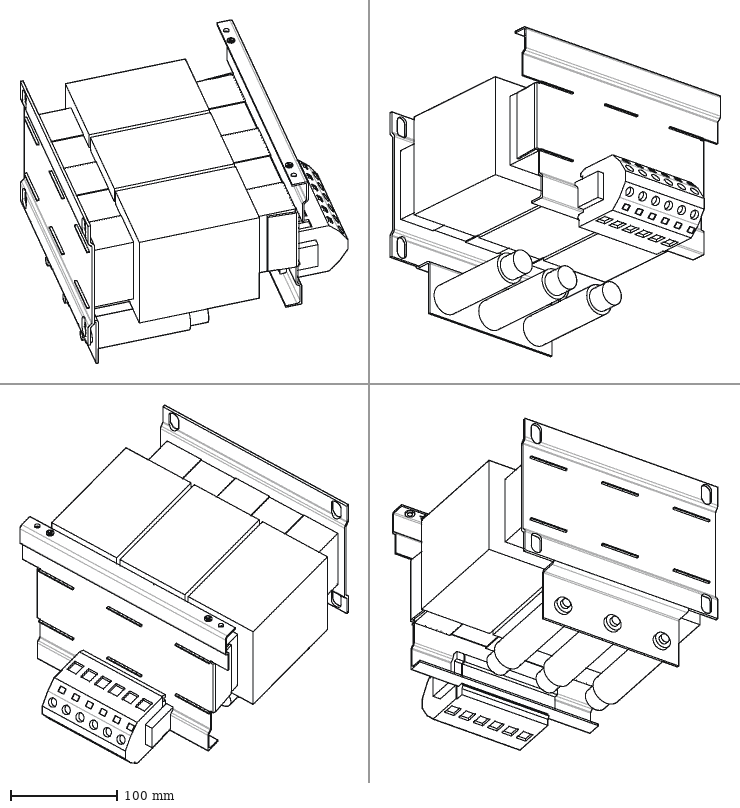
import cadquery as cq
import math


PHASES = 3
PHASE_PITCH = 79.8
LEG_WIDTH = PHASE_PITCH / 2
CORE_WIDTH = (2 * PHASES - 1) * LEG_WIDTH
CORE_HEIGHT = 69.3
CORE_FRONT_Y = 6.5
CORE_BACK_Y = 206.8
COIL_GAP = 3.8
COIL_WIDTH = PHASE_PITCH - COIL_GAP
COIL_HEIGHT = 101.8
COIL_FRONT_Y = 47.5
COIL_BACK_Y = 166.0
STRIP_THICKNESS = 1.0
STRIP_FRONT_Y = 1.5
STRIP_BACK_Y = 211.8

BEND_RADIUS = 1.0

FRONT_THICKNESS = 2.8
FRONT_WIDTH = 215.0
FRONT_HALF_HEIGHT = 75.0
FRONT_BEND_OUTER_Z = 52.5
FRONT_BEND_INNER_Z = 48.5
SLOT_SPACING_X = 189.8
SLOT_CENTER_Z = 62.5
SLOT_LENGTH = 21.5
SLOT_WIDTH = 11.3

BRACKET_THICKNESS = 2.2
BRACKET_WIDTH = 150.7
BRACKET_TOP_Z = -74.2
SHELF_BOTTOM_Z = -78.0
BRACKET_BOTTOM_Z = -130.4
BRACKET_FRONT_Y = 18.2
CAPACITOR_PITCH = 55.0
CAPACITOR_Z = -110.5
CAPACITOR_DIAMETER = 30.2
CAPACITOR_BACK_Y = 113.0
CAP_NECK_DIAMETER = 23.5
CAP_NECK_BACK_Y = 132.0
NUT_DIAMETER = 16.5
NUT_FRONT_Y = 13.8
STUD_DIAMETER = 8.8
STUD_FRONT_Y = 10.0

SHEET_THICKNESS = 2.0
TOP_Z = 86.0
RAIL_OUTER_Y = 213.7
WEB_OUTER_Y = 209.5
FLANGE_FRONT_Y = 197.7
RAIL_JOG_OUTER_Z = 62.2
RAIL_JOG_INNER_Z = 58.8
UPPER_RAIL_WIDTH = 240.0
UPPER_RAIL_BOTTOM_Z = 36.5
LOWER_RAIL_WIDTH = CORE_WIDTH
WING_HALF_HEIGHT = 34.0
WING_FRONT_Y = 179.3
WING_ROOT_X = 102.8
WING_TIP_X = 101.0
FLANGE_HOLE_Y = 203.2
FIXING_X = 107.2
FIXING_HOLE_DIAMETER = 5.0
FIXING_NUT_DIAMETER = 9.0
FIXING_NUT_THICKNESS = 1.6
SCREW_X = 92.5
SCREW_DIAMETER = 7.2
SCREW_HEAD_DEPTH = 0.5
SCREW_SLOT_WIDTH = 1.0
SCREW_SLOT_DEPTH = 1.5

TERMINALS = 6
TERMINAL_LEFT_X = -47.0
TERMINAL_RIGHT_X = 49.0
TERMINAL_PITCH = (TERMINAL_RIGHT_X - TERMINAL_LEFT_X) / TERMINALS
END_PLATE_THICKNESS = 1.0
END_PLATE_FRONT_Y = 215.5
TERMINAL_TOP_Z = -41.5
TERMINAL_BOTTOM_Z = -99.0
TERMINAL_MID_Z = (TERMINAL_TOP_Z + TERMINAL_BOTTOM_Z) / 2
TERMINAL_BACK_Y = 275.0
NOSE_HALF_HEIGHT = 5.5
BEVEL_Y = 266.2
BEVEL_HALF_HEIGHT = 19.0
SHOULDER_Y = 256.0
STOP_OUTER_X = 56.0
STOP_BACK_Y = 243.0
STOP_TOP_Z = -56.0
STOP_BOTTOM_Z = -83.3
HOOK_FRONT_Y = 201.3
HOOK_BOTTOM_Z = -64.5
FOOT_FRONT_Y = 205.7
CATCH_BASE_Y = 206.8
CATCH_TIP_Y = 205.0
CATCH_TIP_Z = -89.5
CATCH_HALF_HEIGHT = 2.8
NOTCH_FLOOR_Y = 211.8
NOTCH_BOTTOM_Z = -52.2
NOTCH_TOP_Z = -47.8
TOP_CORNER_Z = -44.5
WINDOW_WIDTH = 10.5
WINDOW_FRONT_Y = 227.7
WINDOW_BACK_Y = 240.4
WINDOW_INSET_X = 2.0
WINDOW_DEPTH = 2.8
SCREW_WELL_DIAMETER = 8.8
SCREW_WELL_DEPTH = 5.5
MARK_WIDTH = 6.3
MARK_LENGTH = 5.5
MARK_DEPTH = 1.0


def box(x0, x1, y0, y1, z0, z1):
    return cq.Workplane("XY").box(x1 - x0, y1 - y0, z1 - z0, centered=False).translate((x0, y0, z0))


def centered_box(x, width, y0, y1, z0, z1):
    return box(x - width / 2, x + width / 2, y0, y1, z0, z1)


def prism_x(points, x0, x1):
    """Extrude a closed (y, z) outline from x0 to x1."""
    return cq.Workplane("YZ").workplane(offset=x0).polyline(points).close().extrude(x1 - x0)


def rod_y(x, z, diameter, y0, y1):
    """Round rod along Y."""
    return cq.Workplane("XZ", origin=(x, y0, z)).circle(diameter / 2).extrude(y0 - y1)


def rod_z(x, y, diameter, z0, z1):
    """Round rod along Z."""
    return cq.Workplane("XY", origin=(x, y, z0)).circle(diameter / 2).extrude(z1 - z0)


def mirrored_z(points, mid_z=0.0):
    """The same (y, z) points reflected about mid_z, in reverse order."""
    return [(y, 2 * mid_z - z) for y, z in reversed(points)]


def bent_sheet(path, thickness, width):
    """Sheet of even thickness to the right of a (y, z) path, with rounded bends, centred on X = 0."""
    headings = [math.atan2(z1 - z0, y1 - y0) for (y0, z0), (y1, z1) in zip(path, path[1:])]
    offset_path = []
    for i, (y, z) in enumerate(path):
        before = headings[max(i - 1, 0)]
        after = headings[min(i, len(headings) - 1)]
        normal = (before + after) / 2 - math.pi / 2
        reach = thickness / math.cos((after - before) / 2)
        offset_path.append((y + reach * math.cos(normal), z + reach * math.sin(normal)))
    sheet = prism_x(path + offset_path[::-1], -width / 2, width / 2)

    for i in range(1, len(path) - 1):
        turns_right = headings[i] < headings[i - 1]
        outer, inner = (path[i], offset_path[i]) if turns_right else (offset_path[i], path[i])
        for corner, radius in ((outer, BEND_RADIUS + thickness), (inner, BEND_RADIUS)):
            sheet = sheet.edges(cq.NearestToPointSelector((0, *corner))).fillet(radius)
    return sheet


def phase_positions():
    return [(i - (PHASES - 1) / 2) * PHASE_PITCH for i in range(PHASES)]


def make_core():
    half = CORE_HEIGHT / 2
    core = centered_box(0, CORE_WIDTH, CORE_FRONT_Y, CORE_BACK_Y, -half, half)
    for x in phase_positions():
        core = core.union(
            centered_box(x, COIL_WIDTH, COIL_FRONT_Y, COIL_BACK_Y, -COIL_HEIGHT / 2, COIL_HEIGHT / 2)
        )
        for z in (-half - STRIP_THICKNESS, half):
            core = core.union(
                centered_box(x, LEG_WIDTH, STRIP_FRONT_Y, STRIP_BACK_Y, z, z + STRIP_THICKNESS)
            )
    return core


def make_front_plate():
    web_y = CORE_FRONT_Y - FRONT_THICKNESS
    lower = [
        (0, -FRONT_HALF_HEIGHT),
        (0, -FRONT_BEND_OUTER_Z),
        (web_y, -FRONT_BEND_INNER_Z),
    ]
    path = lower + mirrored_z(lower)
    plate = bent_sheet(path, FRONT_THICKNESS, FRONT_WIDTH)
    slots = (
        cq.Workplane("XZ")
        .rect(SLOT_SPACING_X, 2 * SLOT_CENTER_Z, forConstruction=True)
        .vertices()
        .slot2D(SLOT_LENGTH, SLOT_WIDTH, 90)
        .extrude(-CORE_FRONT_Y)
    )
    return plate.cut(slots)


def make_capacitor_bracket():
    front_path = [
        (BRACKET_FRONT_Y, BRACKET_BOTTOM_Z),
        (BRACKET_FRONT_Y, SHELF_BOTTOM_Z),
        (0, SHELF_BOTTOM_Z),
        (0, BRACKET_TOP_Z),
    ]
    return bent_sheet(front_path, BRACKET_THICKNESS, BRACKET_WIDTH)


def make_capacitor(x):
    plate_back_y = BRACKET_FRONT_Y + BRACKET_THICKNESS
    return (
        rod_y(x, CAPACITOR_Z, CAPACITOR_DIAMETER, plate_back_y, CAPACITOR_BACK_Y)
        .union(rod_y(x, CAPACITOR_Z, CAP_NECK_DIAMETER, CAPACITOR_BACK_Y, CAP_NECK_BACK_Y))
        .union(rod_y(x, CAPACITOR_Z, NUT_DIAMETER, NUT_FRONT_Y, BRACKET_FRONT_Y))
        .union(rod_y(x, CAPACITOR_Z, STUD_DIAMETER, STUD_FRONT_Y, NUT_FRONT_Y))
    )


def screw_head_recess(x):
    """Cutter for a sunken screw head with a cross slot in the upper flange."""
    recess = rod_z(x, FLANGE_HOLE_Y, SCREW_DIAMETER, TOP_Z - SCREW_HEAD_DEPTH, TOP_Z)
    slot = cq.Workplane("XY").box(SCREW_DIAMETER, SCREW_SLOT_WIDTH, 2 * SCREW_SLOT_DEPTH)
    slot = slot.translate((x, FLANGE_HOLE_Y, TOP_Z))
    crossing_slot = slot.rotate((x, FLANGE_HOLE_Y, 0), (x, FLANGE_HOLE_Y, 1), 90)
    return recess.union(slot).union(crossing_slot)


def make_rear_sheet():
    rail = [
        (FLANGE_FRONT_Y, TOP_Z),
        (RAIL_OUTER_Y, TOP_Z),
        (RAIL_OUTER_Y, RAIL_JOG_OUTER_Z),
        (WEB_OUTER_Y, RAIL_JOG_INNER_Z),
    ]
    upper_path = rail + [(WEB_OUTER_Y, UPPER_RAIL_BOTTOM_Z)]
    lower_path = [(WEB_OUTER_Y, UPPER_RAIL_BOTTOM_Z)] + mirrored_z(rail)
    sheet = bent_sheet(upper_path, SHEET_THICKNESS, UPPER_RAIL_WIDTH)
    sheet = sheet.union(bent_sheet(lower_path, SHEET_THICKNESS, LOWER_RAIL_WIDTH))

    wing = [
        (0, WEB_OUTER_Y),
        (WING_ROOT_X, WEB_OUTER_Y),
        (WING_ROOT_X + SHEET_THICKNESS / 2, CORE_BACK_Y),
        (WING_TIP_X + SHEET_THICKNESS / 2, WING_FRONT_Y),
        (WING_TIP_X - SHEET_THICKNESS / 2, WING_FRONT_Y),
        (WING_ROOT_X - SHEET_THICKNESS / 2, CORE_BACK_Y),
        (0, CORE_BACK_Y),
    ]
    right_wing = (
        cq.Workplane("XY")
        .workplane(offset=-WING_HALF_HEIGHT)
        .polyline(wing)
        .close()
        .extrude(2 * WING_HALF_HEIGHT)
    )
    sheet = sheet.union(right_wing).union(right_wing.mirror("YZ"))

    flange_bottom_z = TOP_Z - SHEET_THICKNESS
    nut_bottom_z = flange_bottom_z - FIXING_NUT_THICKNESS
    for side in (-1, 1):
        fixing_x = side * FIXING_X
        sheet = sheet.union(
            rod_z(fixing_x, FLANGE_HOLE_Y, FIXING_NUT_DIAMETER, nut_bottom_z, flange_bottom_z)
        )
        sheet = sheet.cut(rod_z(fixing_x, FLANGE_HOLE_Y, FIXING_HOLE_DIAMETER, nut_bottom_z, TOP_Z))
        sheet = sheet.cut(screw_head_recess(side * SCREW_X))
    return sheet


def on_slope(x, y0, z0, y1, z1):
    """Workplane at the middle of a sloping face that descends from (y0, z0) to (y1, z1)."""
    middle = (x, (y0 + y1) / 2, (z0 + z1) / 2)
    outward = (0, z0 - z1, y1 - y0)
    return cq.Workplane(cq.Plane(origin=middle, xDir=(1, 0, 0), normal=outward))


def terminal_cutters(left_x):
    """Upper wire window, marker pocket and screw well of the terminal starting at left_x."""
    window_x = left_x + WINDOW_INSET_X
    window = box(
        window_x, window_x + WINDOW_WIDTH,
        WINDOW_FRONT_Y, WINDOW_BACK_Y,
        TERMINAL_TOP_Z - WINDOW_DEPTH, TERMINAL_TOP_Z,
    )

    bevel_z = TERMINAL_MID_Z + BEVEL_HALF_HEIGHT
    nose_z = TERMINAL_MID_Z + NOSE_HALF_HEIGHT

    mark = (
        on_slope(left_x + MARK_WIDTH / 2, SHOULDER_Y, TERMINAL_TOP_Z, BEVEL_Y, bevel_z)
        .rect(MARK_WIDTH, MARK_LENGTH)
        .extrude(-MARK_DEPTH)
    )
    well = (
        on_slope(window_x + WINDOW_WIDTH / 2, BEVEL_Y, bevel_z, TERMINAL_BACK_Y, nose_z)
        .circle(SCREW_WELL_DIAMETER / 2)
        .extrude(-SCREW_WELL_DEPTH)
    )
    return window.union(mark).union(well)


def make_terminal_strip():
    upper_back = [
        (SHOULDER_Y, TERMINAL_TOP_Z),
        (BEVEL_Y, TERMINAL_MID_Z + BEVEL_HALF_HEIGHT),
        (TERMINAL_BACK_Y, TERMINAL_MID_Z + NOSE_HALF_HEIGHT),
    ]
    back = upper_back + mirrored_z(upper_back, TERMINAL_MID_Z)
    hook = [
        (HOOK_FRONT_Y, HOOK_BOTTOM_Z),
        (HOOK_FRONT_Y, STOP_TOP_Z),
    ]
    catch = [
        (CATCH_BASE_Y, TERMINAL_BOTTOM_Z),
        (CATCH_BASE_Y, CATCH_TIP_Z - CATCH_HALF_HEIGHT),
        (CATCH_TIP_Y, CATCH_TIP_Z),
        (CATCH_BASE_Y, CATCH_TIP_Z + CATCH_HALF_HEIGHT),
    ]
    foot = [
        (FOOT_FRONT_Y, STOP_BOTTOM_Z),
        (FOOT_FRONT_Y, HOOK_BOTTOM_Z),
    ]
    notch = [
        (WEB_OUTER_Y, NOTCH_BOTTOM_Z),
        (NOTCH_FLOOR_Y, NOTCH_BOTTOM_Z),
        (NOTCH_FLOOR_Y, NOTCH_TOP_Z),
        (WEB_OUTER_Y, NOTCH_TOP_Z),
    ]
    top_corner = [
        (WEB_OUTER_Y, TOP_CORNER_Z),
        (END_PLATE_FRONT_Y, TERMINAL_TOP_Z),
    ]
    front = catch + foot + hook + [(WEB_OUTER_Y, STOP_TOP_Z)] + notch + top_corner
    strip = prism_x(back + front, TERMINAL_LEFT_X, TERMINAL_RIGHT_X)
    for i in range(TERMINALS):
        cutters = terminal_cutters(TERMINAL_LEFT_X + i * TERMINAL_PITCH)
        strip = strip.cut(cutters)
        strip = strip.cut(cutters.mirror("XY", (0, 0, TERMINAL_MID_Z)))

    end_plate = back + [(END_PLATE_FRONT_Y, TERMINAL_BOTTOM_Z), (END_PLATE_FRONT_Y, TERMINAL_TOP_Z)]
    end_plate_x = TERMINAL_LEFT_X - END_PLATE_THICKNESS
    strip = strip.union(prism_x(end_plate, end_plate_x, TERMINAL_LEFT_X))

    end_stop = hook + [
        (STOP_BACK_Y, STOP_TOP_Z),
        (STOP_BACK_Y, STOP_BOTTOM_Z),
    ] + foot
    strip = strip.union(prism_x(end_stop, -STOP_OUTER_X, end_plate_x))
    return strip.union(prism_x(end_stop, TERMINAL_RIGHT_X, STOP_OUTER_X))


result = (
    make_core()
    .union(make_front_plate())
    .union(make_capacitor_bracket())
    .union(make_rear_sheet())
    .union(make_terminal_strip())
)
for capacitor_x in (-CAPACITOR_PITCH, 0, CAPACITOR_PITCH):
    result = result.union(make_capacitor(capacitor_x))